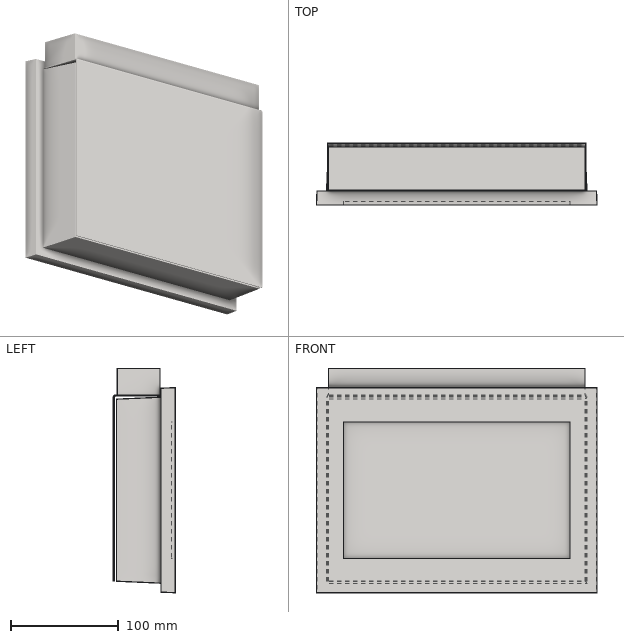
import cadquery as cq

bezel_width = 260.7
bezel_height = 190.5
bezel_depth = 13.3
bezel_taper = 0.5
middle_z = bezel_height / 2

screen_width = 210.0
screen_height = 126.5
screen_recess = 3.5

housing_width = 242.0
housing_height = 172.8
housing_back_y = 54.7
housing_taper = 1.8

cover_width = 239.8
cover_thickness = 1.0
cover_bend_radius = 1.8
cover_back_y = 57.5
cover_bottom_z = 11.2
cover_top_z = 183.5

block_width = 238.3
block_front_y = 14.0
block_back_y = 54.0
block_top_z = 208.3


def tapered_block(width, height, front_y, back_y, inset):
    """Block narrowing by the inset on all four sides from front to back."""
    return (
        cq.Workplane("XZ", origin=(0, front_y, middle_z))
        .rect(width, height)
        .workplane(offset=front_y - back_y)
        .rect(width - 2 * inset, height - 2 * inset)
        .loft(ruled=True)
    )


def make_bezel():
    bezel = tapered_block(bezel_width, bezel_height, 0, bezel_depth, bezel_taper)
    screen = (
        cq.Workplane("XZ", origin=(0, 0, middle_z))
        .rect(screen_width, screen_height)
        .extrude(-screen_recess)
    )
    return bezel.cut(screen)


def make_cover():
    inner_back_y = cover_back_y - cover_thickness
    inner_top_z = cover_top_z - cover_thickness
    inner_bend_radius = cover_bend_radius - cover_thickness
    bend_y = cover_back_y - cover_bend_radius
    bend_z = cover_top_z - cover_bend_radius
    return (
        cq.Workplane("YZ")
        .moveTo(bezel_depth, cover_top_z)
        .lineTo(bend_y, cover_top_z)
        .radiusArc((cover_back_y, bend_z), cover_bend_radius)
        .lineTo(cover_back_y, cover_bottom_z)
        .lineTo(inner_back_y, cover_bottom_z)
        .lineTo(inner_back_y, bend_z)
        .radiusArc((bend_y, inner_top_z), -inner_bend_radius)
        .lineTo(bezel_depth, inner_top_z)
        .close()
        .extrude(cover_width / 2, both=True)
    )


def make_block():
    return cq.Workplane("XY").box(
        block_width,
        block_back_y - block_front_y,
        block_top_z - cover_top_z,
        centered=(True, False, False),
    ).translate((0, block_front_y, cover_top_z))


housing = tapered_block(housing_width, housing_height, bezel_depth, housing_back_y, housing_taper)
result = make_bezel().union(housing).union(make_cover()).union(make_block())